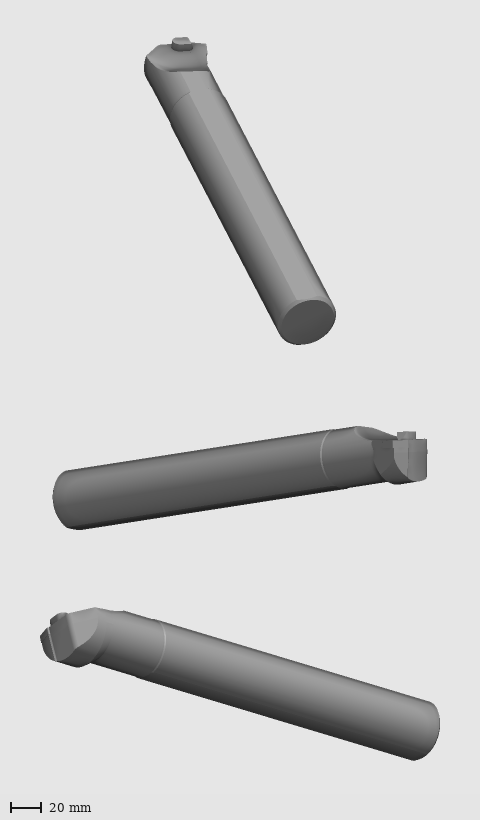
import cadquery as cq
import math

total_length = 300.0
shank_radius = 20.0
flat_height = 18.75
end_chamfer = 2.0

neck_radius = 19.5
neck_end = 70.0
neck_taper_length = 1.0

head_reach = 27.0
head_radius = (head_reach + neck_radius) / 2
head_offset = head_reach - head_radius
head_end = 22.0
head_cone_end = 27.7

insert_side = 12.7
insert_thickness = 4.76
insert_corner_radius = 0.8
lead_angle = math.radians(15)
corner_reach = insert_corner_radius * (math.cos(lead_angle) + math.sin(lead_angle) - 1)
tip_reach = head_reach + corner_reach
tip_setback = insert_side * math.sin(lead_angle) - corner_reach
back_rake = math.tan(math.radians(6))
side_rake = math.tan(math.radians(10))

side_recess = 0.7
front_recess = 0.3
seat_shortfall = 0.8
front_face = 1.0
front_step_width = 1.2
bevel_start = -5.0
bevel_size = 30.0
bevel_corner_radius = 5.0
seat_depth = 3.18
relief_taper = 3.0
clear = 60.0

pocket_center = (10.5, 3.5)
pocket_floor_radius = 22.0
pocket_rim_radius = 24.0

clamp_x = 6.4
clamp_y_low = 2.1
clamp_y_high = 16.6
clamp_width = 8.8
clamp_height = 5.3
clamp_nose_length = 2.6


def across_bar(x):
    """Cross-section plane at x, with its local x toward -Y and its local y toward -Z."""
    return cq.Workplane(cq.Plane((x, 0, 0), (0, -1, 0), (1, 0, 0)))


rake_x = cq.Vector(1, 0, back_rake).normalized()
rake_normal = cq.Vector(-back_rake, side_rake, 1).normalized()
rake_y = rake_normal.cross(rake_x)
tip = cq.Vector(tip_setback, tip_reach, 0)


def rake_point(x, y):
    """Rake-frame coordinates of the rake-face point that stands at plan position x, y."""
    rise = back_rake * (x - tip.x) - side_rake * (y - tip.y)
    offset = cq.Vector(x, y, rise + tip.z) - tip
    return (offset.dot(rake_x), offset.dot(rake_y))


def on_rake_face(height=0.0):
    return cq.Workplane(cq.Plane(tip + rake_normal * height, rake_x, rake_normal))


def from_tip(along_side, along_front):
    """Plan point reached from the insert tip along its two outer edges."""
    x = tip.x + along_side * math.cos(lead_angle) - along_front * math.sin(lead_angle)
    y = tip.y - along_side * math.sin(lead_angle) - along_front * math.cos(lead_angle)
    return (x, y)


def trimming_block(start_x):
    """Block standing on Z = 0 that spans the bar from start_x to its far end."""
    block = cq.Workplane().box(total_length, clear, clear, centered=(False, True, False))
    return block.translate((start_x, 0, 0))


def make_bar():
    taper_end = neck_end + neck_taper_length
    neck = across_bar(head_end).circle(neck_radius).extrude(neck_end - head_end)

    taper = across_bar(neck_end).circle(neck_radius)
    taper = taper.workplane(offset=neck_taper_length).circle(shank_radius).loft()
    shank = across_bar(taper_end).circle(shank_radius).extrude(total_length - taper_end)
    shank = shank.faces(">X").chamfer(end_chamfer)

    bottom_flat = trimming_block(neck_end).translate((0, 0, -flat_height - clear))
    return neck.union(taper.union(shank).cut(bottom_flat))


def head_outline(workplane):
    seat_corner = from_tip(front_recess, insert_side - seat_shortfall)
    points = [
        from_tip(clear, side_recess),
        from_tip(front_recess, side_recess),
        seat_corner,
        (front_face, seat_corner[1] - front_step_width),
        (front_face, bevel_start),
        (front_face + bevel_size, bevel_start - bevel_size),
        (clear, bevel_start - bevel_size),
    ]
    return workplane.polyline([rake_point(*p) for p in points]).close()


def round_bevel_corner(prism, relief_height):
    """Round the edge between end face and bevel: the one that rises from the relief plane."""
    x, y = rake_point(front_face, bevel_start)
    corner = tip + rake_x * x + rake_y * y + rake_normal * relief_height
    vertex = prism.vertices(cq.selectors.NearestToPointSelector(corner.toTuple()))
    edges = vertex.ancestors("Edge").vals()
    rising = max(edges, key=lambda edge: abs(edge.tangentAt(0).dot(rake_normal)))
    return prism.newObject([rising]).fillet(bevel_corner_radius)


def make_head():
    blank = across_bar(0).center(-head_offset, 0).circle(head_radius).extrude(head_end)
    cone = across_bar(head_end).center(-head_offset, 0).circle(head_radius)
    cone = cone.workplane(offset=head_cone_end - head_end).center(head_offset, 0)
    cone = cone.circle(neck_radius).loft()
    blank = blank.union(cone)

    relief_height = -insert_thickness - seat_depth
    upper = head_outline(on_rake_face(relief_height)).extrude(clear)
    lower = head_outline(on_rake_face(relief_height)).extrude(-clear, taper=relief_taper)
    upper = round_bevel_corner(upper, relief_height)
    lower = round_bevel_corner(lower, relief_height)
    return blank.intersect(upper.union(lower))


def make_chip_pocket():
    center = rake_point(*pocket_center)
    middle = math.radians(45)
    rim_middle = (
        pocket_floor_radius + pocket_rim_radius * math.sin(middle),
        pocket_rim_radius * (1 - math.cos(middle)),
    )
    rim_end = (pocket_floor_radius + pocket_rim_radius, pocket_rim_radius)
    origin = tip + rake_x * center[0] + rake_y * center[1]
    profile = cq.Workplane(cq.Plane(origin, rake_x, rake_y * -1))
    profile = profile.moveTo(0, 0).lineTo(pocket_floor_radius, 0)
    profile = profile.threePointArc(rim_middle, rim_end)
    profile = profile.lineTo(rim_end[0], clear).lineTo(0, clear).close()
    return profile.revolve(360, (0, 0), (0, 1))


def insert_block(height_above_rake_face=0.0):
    """Square insert with rounded corners, from its underside up to the given height."""
    corners = [
        from_tip(0, 0),
        from_tip(insert_side, 0),
        from_tip(insert_side, insert_side),
        from_tip(0, insert_side),
    ]
    square = on_rake_face(-insert_thickness).polyline([rake_point(*c) for c in corners]).close()
    block = square.extrude(insert_thickness + height_above_rake_face)
    return block.edges(cq.selectors.ParallelDirSelector(rake_normal)).fillet(insert_corner_radius)


def make_clamp():
    length = clamp_y_high - clamp_y_low
    x, y = rake_point(clamp_x, (clamp_y_low + clamp_y_high) / 2)
    clamp = on_rake_face().center(x, y).slot2D(length, clamp_width, 90).extrude(clamp_height)

    nose_top = length / 2 - clamp_nose_length
    center = tip + rake_x * x + rake_y * y
    nose = cq.Workplane(cq.Plane(center, rake_y, rake_x))
    nose = nose.polyline([(length / 2, 0), (nose_top, clamp_height), (length / 2, clamp_height)])
    return clamp.cut(nose.close().extrude(clamp_width, both=True))


insert = insert_block()

top_flat = trimming_block(0).translate((0, 0, flat_height))
insert_seat = insert_block(height_above_rake_face=clamp_height)
holder = make_bar().union(make_head())
holder = holder.cut(top_flat).cut(make_chip_pocket()).cut(insert_seat).union(make_clamp())

result = cq.Compound.makeCompound([holder.val(), insert.val()])